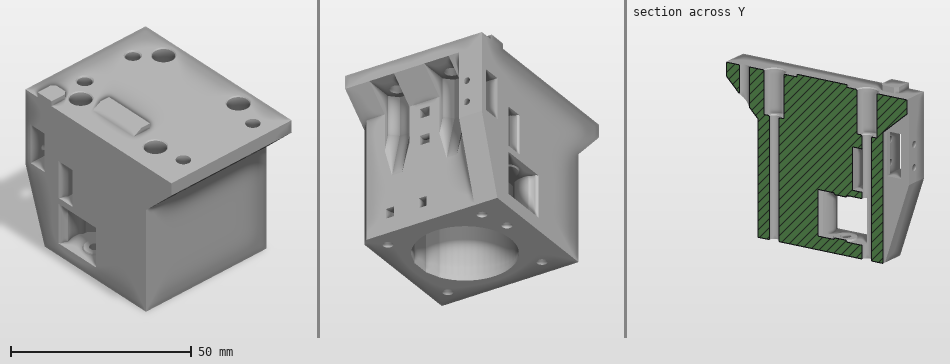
import cadquery as cq
import math

LENGTH = 60.5
WIDTH = 45.0
TOTAL_HEIGHT = 51.1
RAISED_HEIGHT = 1.7
PLATE_TOP = TOTAL_HEIGHT - RAISED_HEIGHT
PLATE_BOTTOM = 45.2

BODY_LEFT = 8.0
BODY_SIZE = 42.0
BODY_RIGHT = BODY_LEFT + BODY_SIZE
BODY_CORNER_CHAMFER = 2.0
RIGHT_SLOPE_BOTTOM = PLATE_BOTTOM - (LENGTH - BODY_RIGHT)
LEFT_SLOPE_BOTTOM = 38.4
LEFT_SLOPE_RATE = (PLATE_BOTTOM - LEFT_SLOPE_BOTTOM) / BODY_LEFT

WING_THICKNESS = 7.5
WING_BOTTOM = 24.1

SCREW_PITCH = 31.0
PATTERN_X = BODY_LEFT + BODY_SIZE / 2
PATTERN_Y = WIDTH - BODY_SIZE / 2
SCREW_DIAMETER = 3.1
SCREW_HEAD_DIAMETER = 6.5
SCREW_HEAD_DEPTH = 13.0
HOLE_CHAMFER = 0.3

PLATE_HOLE_DIAMETER = 4.3
RIGHT_HOLE_X = 54.4
RIGHT_HOLE_PITCH = 26.0
RIGHT_HOLE_Y = 23.0
LEFT_HOLE_PITCH = 18.0
LEFT_HOLE_Y = PATTERN_Y
LEFT_HOLE_CHAMFER = 0.4

CHANNEL_WIDTH = 8.1
CHANNEL_BEND_Z = 32.8
CHANNEL_TIP_Z = 18.1

RIDGE_LEFT = 20.0
RIDGE_LENGTH = 17.0
RIDGE_FRONT = 7.2
RIDGE_CREST = 10.1
RIDGE_BACK = 13.2
TAB_LEFT = 5.1
TAB_WIDTH = 5.8
TAB_DEPTH = 6.0
TAB_CHAMFER = 1.0

MOUTH_CHAMFER = 0.55
LIP_RADIUS = 2.6
LIP_INSET = LIP_RADIUS * (1 - math.sin(math.pi / 4))
LIP_DEPTH = LIP_RADIUS * math.cos(math.pi / 4)
WALL_INSET = MOUTH_CHAMFER + LIP_INSET
MOUTH_DEPTH = MOUTH_CHAMFER + LIP_DEPTH
WING_SLOT_LEFT = 2.2
SLOT_WIDTH = 5.8
SLOT_STEP_DEPTH = 6.0
SLOT_STEP = 0.55
WING_SLOT_BOTTOM = 25.4
WING_SLOT_TOP = 38.5
BELT_LEFT = 13.7
UPPER_POCKET_BOTTOM = 19.65
UPPER_POCKET_TOP = 32.2
LOWER_POCKET_WIDTH = 15.5
LOWER_POCKET_BOTTOM = 4.15
LOWER_POCKET_TOP = 17.65

IDLER_X = 22.3
IDLER_Y = 5.9
IDLER_WALL_RADIUS = 7.5
IDLER_WALL_END_X = 16.7
IDLER_WALL_END_Y = 11.4
RIGHT_WALL_RADIUS = 8.0
RIGHT_WALL_END_X = 28.7
RIGHT_WALL_END_Y = 7.5
RIGHT_WALL_FLARE = 3.0
IDLER_HOLE_DIAMETER = 3.2
IDLER_PAD_DIAMETER = 6.5
IDLER_PAD_BASE_DIAMETER = 7.0
IDLER_PAD_HEIGHT = 0.5

BORE_RADIUS = 15.0
BORE_TOP = UPPER_POCKET_TOP
BACK_FACET_HALF_WIDTH = 3.0
SIDE_FACET_REACH = 7.4

PIN_DIAMETER = 2.0
PIN_Y = 4.95
PIN_HEIGHTS = (28.5, 35.3)
PIN_END = 12.0

TIE_CORE_OFFSET = 1.4
TIE_WIDTH = 3.1
SIDE_TIE_Y = 23.9
SIDE_TIE_Z = 30.7
SIDE_TIE_INNER = 2.8
SIDE_TIE_OUTER = 5.8
LOW_TIE_Y = 30.0
LOW_TIE_Z = 6.35
LOW_TIE_INNER = 4.05
LOW_TIE_OUTER = 6.7


def box(x0, x1, y0, y1, z0, z1):
    """Box between two opposite corners."""
    return cq.Workplane("XY").box(x1 - x0, y1 - y0, z1 - z0, centered=False).translate((x0, y0, z0))


def side_profile(points, y0, y1):
    """XZ outline extruded from y0 to y1."""
    return cq.Workplane("XZ", origin=(0, y0, 0)).polyline(points).close().extrude(y0 - y1)


def cylinder(x, y, z0, z1, diameter):
    """Vertical cylinder from z0 to z1."""
    return cq.Workplane("XY", origin=(x, y, z0)).circle(diameter / 2).extrude(z1 - z0)


def cone(x, y, z0, z1, diameter0, diameter1):
    """Vertical cone frustum, diameter0 at z0 and diameter1 at z1."""
    solid = cq.Solid.makeCone(diameter0 / 2, diameter1 / 2, z1 - z0, cq.Vector(x, y, z0))
    return cq.Workplane(obj=solid)


def make_block():
    c = BODY_CORNER_CHAMFER
    body = (
        cq.Workplane("XY")
        .polyline([
            (BODY_LEFT, 0),
            (BODY_RIGHT, 0),
            (BODY_RIGHT, WIDTH),
            (BODY_LEFT + c, WIDTH),
            (BODY_LEFT, WIDTH - c),
        ])
        .close()
        .extrude(PLATE_TOP)
    )
    slope_end = BODY_LEFT + c
    plate = side_profile(
        [
            (0, PLATE_TOP),
            (LENGTH, PLATE_TOP),
            (LENGTH, PLATE_BOTTOM),
            (BODY_RIGHT, RIGHT_SLOPE_BOTTOM),
            (slope_end, PLATE_BOTTOM - LEFT_SLOPE_RATE * slope_end),
            (0, PLATE_BOTTOM),
        ],
        0,
        WIDTH,
    )
    wing = side_profile(
        [(0, PLATE_TOP), (BODY_LEFT, PLATE_TOP), (BODY_LEFT, 0), (0, WING_BOTTOM)],
        0,
        WING_THICKNESS,
    )
    return body.union(plate).union(wing)


def make_ridge():
    return (
        cq.Workplane("YZ", origin=(RIDGE_LEFT, 0, 0))
        .polyline([
            (RIDGE_FRONT, PLATE_TOP),
            (RIDGE_CREST, TOTAL_HEIGHT),
            (RIDGE_BACK, TOTAL_HEIGHT),
            (RIDGE_BACK, PLATE_TOP),
        ])
        .close()
        .extrude(RIDGE_LENGTH)
    )


def make_tab():
    tab = box(TAB_LEFT, TAB_LEFT + TAB_WIDTH, 0, TAB_DEPTH, PLATE_TOP, TOTAL_HEIGHT)
    return tab.edges("|Z and >Y").chamfer(TAB_CHAMFER)


def screw_cut(x, y):
    d = SCREW_DIAMETER
    head = SCREW_HEAD_DIAMETER
    seat = PLATE_TOP - SCREW_HEAD_DEPTH
    c = HOLE_CHAMFER
    return (
        cylinder(x, y, 0, PLATE_TOP, d)
        .union(cylinder(x, y, seat, PLATE_TOP, head))
        .union(cone(x, y, seat - c, seat, d, d + 2 * c))
        .union(cone(x, y, PLATE_TOP - c, PLATE_TOP, head, head + 2 * c))
    )


def octagon(x, y, z):
    """Horizontal octagon outline of the bolt channel with flats facing X and Y."""
    half = CHANNEL_WIDTH / 2
    half_side = half * math.tan(math.pi / 8)
    quadrant = [(half, half_side), (half_side, half)]
    points = quadrant + [(-px, py) for px, py in reversed(quadrant)]
    points = points + [(-px, -py) for px, py in points]
    return cq.Workplane("XY", origin=(x, y, z)).polyline(points).close()


def channel_cut(y):
    """Chamfered bolt hole opening into an octagonal channel that tapers out of the left face."""
    d = PLATE_HOLE_DIAMETER
    c = LEFT_HOLE_CHAMFER
    half = CHANNEL_WIDTH / 2
    hole = cylinder(BODY_LEFT, y, PLATE_BOTTOM, PLATE_TOP, d)
    mouth = cone(BODY_LEFT, y, PLATE_TOP - c, PLATE_TOP, d, d + 2 * c)

    upright = octagon(BODY_LEFT, y, CHANNEL_BEND_Z).extrude(PLATE_BOTTOM - CHANNEL_BEND_Z)
    opening = box(0, BODY_LEFT, y - half, y + half, CHANNEL_BEND_Z, PLATE_BOTTOM)
    lower_wire = octagon(BODY_LEFT - half, y, CHANNEL_TIP_Z).val()
    upper_wire = octagon(BODY_LEFT, y, CHANNEL_BEND_Z).val()
    taper = cq.Workplane(obj=cq.Solid.makeLoft([lower_wire, upper_wire], True))
    return hole.union(mouth).union(upright).union(opening).union(taper)


def wing_slot_cut():
    """Slot through the wing, stepping narrower towards the back."""
    right = WING_SLOT_LEFT + SLOT_WIDTH
    z0 = WING_SLOT_BOTTOM
    z1 = WING_SLOT_TOP
    wide = box(WING_SLOT_LEFT, right, 0, SLOT_STEP_DEPTH, z0, z1)
    narrow = box(WING_SLOT_LEFT + SLOT_STEP, right - SLOT_STEP, 0, WING_THICKNESS, z0, z1)
    return wide.union(narrow)


def mouth_cut(width, z0, z1):
    """Flared entry of a belt pocket: chamfered edges running into rounded lips."""
    left = BELT_LEFT
    right = BELT_LEFT + width
    c = MOUTH_CHAMFER
    return (
        cq.Workplane("XY", origin=(0, 0, z0))
        .moveTo(left, 0)
        .lineTo(right, 0)
        .lineTo(right - c, c)
        .radiusArc((right - WALL_INSET, MOUTH_DEPTH), -LIP_RADIUS)
        .lineTo(left + WALL_INSET, MOUTH_DEPTH)
        .radiusArc((left + c, c), -LIP_RADIUS)
        .close()
        .extrude(z1 - z0)
    )


def upper_pocket_cut():
    """Narrow straight belt pocket leading into the bore."""
    z0 = UPPER_POCKET_BOTTOM
    z1 = UPPER_POCKET_TOP
    right = BELT_LEFT + SLOT_WIDTH - WALL_INSET
    passage = box(BELT_LEFT + WALL_INSET, right, MOUTH_DEPTH, PATTERN_Y, z0, z1)
    return mouth_cut(SLOT_WIDTH, z0, z1).union(passage)


def lower_pocket_cut():
    """Wide pocket with bowed side walls around the idler, leading into the bore."""
    z0 = LOWER_POCKET_BOTTOM
    z1 = LOWER_POCKET_TOP
    right = BELT_LEFT + LOWER_POCKET_WIDTH - WALL_INSET
    passage = (
        cq.Workplane("XY", origin=(0, 0, z0))
        .moveTo(BELT_LEFT + WALL_INSET, MOUTH_DEPTH)
        .radiusArc((IDLER_WALL_END_X, IDLER_WALL_END_Y), IDLER_WALL_RADIUS)
        .lineTo(IDLER_WALL_END_X, PATTERN_Y)
        .lineTo(RIGHT_WALL_END_X + RIGHT_WALL_FLARE, PATTERN_Y)
        .lineTo(RIGHT_WALL_END_X + RIGHT_WALL_FLARE, RIGHT_WALL_END_Y + RIGHT_WALL_FLARE)
        .lineTo(RIGHT_WALL_END_X, RIGHT_WALL_END_Y)
        .radiusArc((right, MOUTH_DEPTH), -RIGHT_WALL_RADIUS)
        .close()
        .extrude(z1 - z0)
    )
    return mouth_cut(LOWER_POCKET_WIDTH, z0, z1).union(passage)


def bore_cut():
    back_y = math.sqrt(BORE_RADIUS**2 - BACK_FACET_HALF_WIDTH**2)
    side_y = math.sqrt(BORE_RADIUS**2 - SIDE_FACET_REACH**2)
    return (
        cq.Workplane("XY", origin=(PATTERN_X, PATTERN_Y, 0))
        .moveTo(SIDE_FACET_REACH, side_y)
        .lineTo(BACK_FACET_HALF_WIDTH, back_y)
        .lineTo(-BACK_FACET_HALF_WIDTH, back_y)
        .lineTo(-SIDE_FACET_REACH, side_y)
        .threePointArc((0, -BORE_RADIUS), (SIDE_FACET_REACH, side_y))
        .close()
        .extrude(BORE_TOP)
    )


def idler_pads():
    base = IDLER_PAD_BASE_DIAMETER
    face = IDLER_PAD_DIAMETER
    z0 = LOWER_POCKET_BOTTOM
    z1 = LOWER_POCKET_TOP
    lower = cone(IDLER_X, IDLER_Y, z0, z0 + IDLER_PAD_HEIGHT, base, face)
    upper = cone(IDLER_X, IDLER_Y, z1 - IDLER_PAD_HEIGHT, z1, face, base)
    return lower.union(upper)


def pin_cut(z):
    return cq.Workplane("YZ").center(PIN_Y, z).circle(PIN_DIAMETER / 2).extrude(PIN_END)


def tie_cut(plane, origin, inner, outer):
    """Tie channel whose openings span from inner to outer, measured from the origin."""
    core_radius = math.hypot(inner, TIE_CORE_OFFSET)
    face = cq.Workplane(plane, origin=origin)
    disc = face.circle(outer).extrude(TIE_WIDTH / 2, both=True)
    core = face.center(TIE_CORE_OFFSET, 0).circle(core_radius).extrude(TIE_WIDTH / 2, both=True)
    return disc.cut(core)


part = make_block().union(make_ridge()).cut(upper_pocket_cut()).cut(lower_pocket_cut())
part = part.cut(bore_cut())
part = part.cut(wing_slot_cut()).union(idler_pads())
part = part.cut(cylinder(IDLER_X, IDLER_Y, 0, LOWER_POCKET_BOTTOM + IDLER_PAD_HEIGHT, IDLER_HOLE_DIAMETER))

for side_x in (-1, 1):
    for side_y in (-1, 1):
        screw_x = PATTERN_X + side_x * SCREW_PITCH / 2
        screw_y = PATTERN_Y + side_y * SCREW_PITCH / 2
        part = part.cut(screw_cut(screw_x, screw_y))

for side_y in (-1, 1):
    right_y = RIGHT_HOLE_Y + side_y * RIGHT_HOLE_PITCH / 2
    part = part.cut(cylinder(RIGHT_HOLE_X, right_y, 0, PLATE_TOP, PLATE_HOLE_DIAMETER))
    part = part.cut(channel_cut(LEFT_HOLE_Y + side_y * LEFT_HOLE_PITCH / 2))

for pin_z in PIN_HEIGHTS:
    part = part.cut(pin_cut(pin_z))

side_tie_origin = (BODY_LEFT, SIDE_TIE_Y, SIDE_TIE_Z)
low_tie_origin = (BODY_LEFT, LOW_TIE_Y, LOW_TIE_Z)
part = part.cut(tie_cut("XZ", side_tie_origin, SIDE_TIE_INNER, SIDE_TIE_OUTER))
part = part.cut(tie_cut("XY", low_tie_origin, LOW_TIE_INNER, LOW_TIE_OUTER))

result = part.union(make_tab())